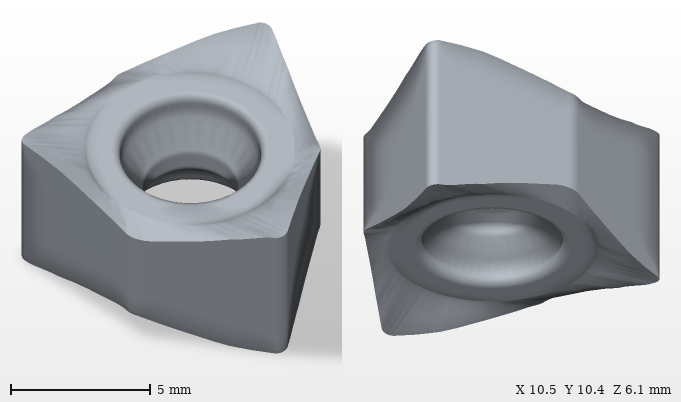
import cadquery as cq
import math

SECTORS = 3
SECTOR_ANGLE = 360 / SECTORS
CORNER_DIRECTION = 226.4

FLANK_DISTANCE = 4.51
FLANK_NORMAL = 43.7
KINK_OFFSET = 2.26
END_FACE_TURN = 0.45
SHARP_RADIUS = 0.4
BLUNT_RADIUS = 0.73
CORNER_STEPS = 4

SEAT_RADIUS = 3.74
SEAT_Z = 2.24

PEAK_Z = 3.049
EDGE_END_Z = 2.96
BLUNT_START_Z = 2.03
BLUNT_END_Z = 1.97
RISE_END_Z = 2.59
CORNER_END_Z = 2.98

CUTTING_EDGE_RIM = [(0.5, 3.03)]
FALLING_RIM = [(0.15, 2.86), (0.34, 2.69), (0.8, 2.25)]
RISING_RIM = [(0.1, 1.94), (0.25, 2.02), (0.47, 2.14), (0.71, 2.31)]
CLIMBING_RIM = [(0.42, 2.76), (0.8, 2.94)]

SEAT_CORNER_START = -14.3
SEAT_EDGE_START = -1.3
SEAT_FALL_START = 13.8
SEAT_BLUNT_START = 47.5
SEAT_RISE_START = 51.8
SEAT_CLIMB_START = 87.8

MOUTH_RADIUS = 2.83
COUNTERBORE_RADIUS = 2.54
COUNTERBORE_DEPTH = 0.46
BEND_RADIUS = 0.69
NECK_RADIUS = 0.4
THROAT_RADIUS = 1.69
UPPER_THROAT_LENGTH = 0.1
LOWER_THROAT_LENGTH = 0.45


def polar(radius, angle):
    a = math.radians(angle)
    return cq.Vector(radius * math.cos(a), radius * math.sin(a), 0)


def at_height(point, z):
    return cq.Vector(point.x, point.y, z)


def between(start, end, fraction):
    return start + (end - start) * fraction


def mirrored(point, angle):
    """Mirror a point in the plane through the axis at the given angle."""
    direction = math.degrees(math.atan2(point.y, point.x))
    return polar(math.hypot(point.x, point.y), 2 * angle - direction)


half_sector = SECTOR_ANGLE / 2
end_normal = FLANK_NORMAL - END_FACE_TURN
blunt_normal = half_sector - FLANK_NORMAL
turn = math.radians(END_FACE_TURN)
end_distance = FLANK_DISTANCE * math.cos(turn) + KINK_OFFSET * math.sin(turn)
sharp_center = polar((end_distance - SHARP_RADIUS) / math.cos(math.radians(end_normal)), 0)
blunt_center = polar((FLANK_DISTANCE - BLUNT_RADIUS) / math.cos(math.radians(blunt_normal)), half_sector)

edge_start = sharp_center + polar(SHARP_RADIUS, end_normal)
fall_start = polar(FLANK_DISTANCE, FLANK_NORMAL) + polar(KINK_OFFSET, FLANK_NORMAL - 90)
blunt_start = blunt_center + polar(BLUNT_RADIUS, FLANK_NORMAL)
rise_start = mirrored(blunt_start, half_sector)
climb_start = mirrored(fall_start, half_sector)
climb_end = mirrored(edge_start, half_sector)


def straight_rim(start, start_z, end, end_z, inner):
    knots = [(0, start_z)] + inner + [(1, end_z)]
    return [at_height(between(start, end, f), z) for f, z in knots]


def corner_rim(center, radius, start_angle, end_angle, start_z, end_z):
    points = []
    for step in range(CORNER_STEPS + 1):
        f = step / CORNER_STEPS
        point = center + polar(radius, start_angle + (end_angle - start_angle) * f)
        points.append(at_height(point, start_z + (end_z - start_z) * f))
    return points


STRETCHES = [
    (corner_rim(sharp_center, SHARP_RADIUS, -end_normal, end_normal, CORNER_END_Z, PEAK_Z),
     SEAT_CORNER_START, SEAT_EDGE_START, False),
    (straight_rim(edge_start, PEAK_Z, fall_start, EDGE_END_Z, CUTTING_EDGE_RIM),
     SEAT_EDGE_START, SEAT_FALL_START, True),
    (straight_rim(fall_start, EDGE_END_Z, blunt_start, BLUNT_START_Z, FALLING_RIM),
     SEAT_FALL_START, SEAT_BLUNT_START, True),
    (corner_rim(blunt_center, BLUNT_RADIUS, FLANK_NORMAL, SECTOR_ANGLE - FLANK_NORMAL,
                BLUNT_START_Z, BLUNT_END_Z),
     SEAT_BLUNT_START, SEAT_RISE_START, False),
    (straight_rim(rise_start, BLUNT_END_Z, climb_start, RISE_END_Z, RISING_RIM),
     SEAT_RISE_START, SEAT_CLIMB_START, True),
    (straight_rim(climb_start, RISE_END_Z, climb_end, CORNER_END_Z, CLIMBING_RIM),
     SEAT_CLIMB_START, SEAT_CORNER_START + SECTOR_ANGLE, True),
]


def seat_arc(start_angle, end_angle):
    angles = (start_angle, (start_angle + end_angle) / 2, end_angle)
    points = [at_height(polar(SEAT_RADIUS, a), SEAT_Z) for a in angles]
    return cq.Edge.makeThreePointArc(*points)


def spin(shape, angle):
    return shape.rotate(cq.Vector(0, 0, 0), cq.Vector(0, 0, 1), angle)


def flip(shape):
    """Half turn about the horizontal line through the first sharp corner."""
    return shape.rotate(cq.Vector(0, 0, 0), cq.Vector(1, 0, 0), 180)


def wall(top, bottom, is_flat):
    """Upright wall between a rim curve and the rim curve below it."""
    if not is_flat:
        return cq.Face.makeRuledSurface(top, bottom)
    start_side = cq.Edge.makeLine(top.startPoint(), bottom.startPoint())
    end_side = cq.Edge.makeLine(top.endPoint(), bottom.endPoint())
    return cq.Face.makeFromWires(cq.Wire.assembleEdges([top, end_side, bottom, start_side]))


def make_blank():
    top_faces = []
    walls = []
    seat_edges = []
    rims = [cq.Edge.makeSpline(points) for points, *_ in STRETCHES]
    backward_rims = [cq.Edge.makeSpline(points[::-1]) for points, *_ in STRETCHES]
    for sector in range(SECTORS):
        angle = sector * SECTOR_ANGLE
        for i, (_, seat_start, seat_end, is_flat) in enumerate(STRETCHES):
            arc = seat_arc(seat_start, seat_end)
            top_faces.append(spin(cq.Face.makeRuledSurface(rims[i], arc), angle))
            seat_edges.append(spin(arc, angle))
            below = flip(backward_rims[-i])
            if i > 0:
                below = spin(below, SECTOR_ANGLE)
            walls.append(spin(wall(rims[i], below, is_flat), angle))
    top_faces.append(cq.Face.makeFromWires(cq.Wire.assembleEdges(seat_edges)))
    bottom_faces = [flip(face) for face in top_faces]
    return cq.Solid.makeSolid(cq.Shell.makeShell(top_faces + bottom_faces + walls))


def half_bore(throat_length):
    """Bore from the middle plane up to the seat; the cone is tangent to both roundings."""
    mouth_rounding = MOUTH_RADIUS - COUNTERBORE_RADIUS
    bend_z = SEAT_Z - COUNTERBORE_DEPTH
    bend_center_radius = COUNTERBORE_RADIUS - BEND_RADIUS
    neck_center_radius = THROAT_RADIUS + NECK_RADIUS
    rise = bend_z - throat_length
    offset = neck_center_radius - bend_center_radius
    slope = math.asin((BEND_RADIUS + NECK_RADIUS) / math.hypot(rise, offset)) - math.atan2(offset, rise)
    neck_end = (neck_center_radius - NECK_RADIUS * math.cos(slope),
                throat_length + NECK_RADIUS * math.sin(slope))
    bend_end = (bend_center_radius + BEND_RADIUS * math.cos(slope),
                bend_z - BEND_RADIUS * math.sin(slope))
    return (
        cq.Workplane("XZ")
        .lineTo(THROAT_RADIUS, 0)
        .lineTo(THROAT_RADIUS, throat_length)
        .tangentArcPoint(neck_end, relative=False)
        .lineTo(*bend_end)
        .tangentArcPoint((COUNTERBORE_RADIUS, bend_z), relative=False)
        .lineTo(COUNTERBORE_RADIUS, SEAT_Z - mouth_rounding)
        .tangentArcPoint((MOUTH_RADIUS, SEAT_Z), relative=False)
        .lineTo(0, SEAT_Z)
        .close()
        .revolve(360, (0, 0), (0, 1))
    )


blank = cq.Workplane(spin(make_blank(), CORNER_DIRECTION))
upper_bore = half_bore(UPPER_THROAT_LENGTH)
lower_bore = half_bore(LOWER_THROAT_LENGTH).mirror("XY")
result = blank.cut(upper_bore.union(lower_bore))